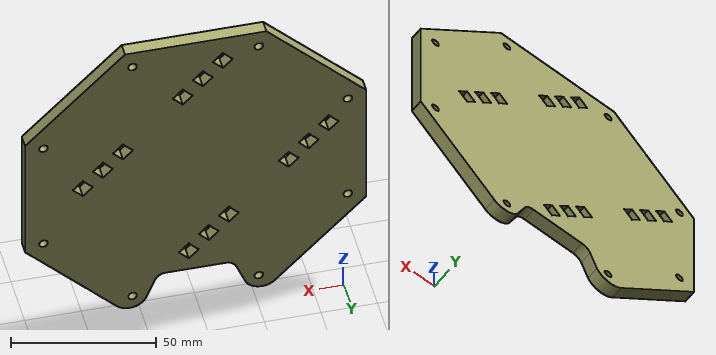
import cadquery as cq
import math

width = 120.7
thickness = 5.0
half_width = width / 2
half_side = half_width * math.tan(math.radians(22.5))

notch_top_z = -45.5
notch_wall_lean = 22.5
notch_fillet = 4.0
foot_bottom_z = -59.3
foot_radius = 6.5

lean = math.radians(notch_wall_lean)
foot_center_z = foot_bottom_z + foot_radius
foot_center_x = (half_width - foot_radius) * math.sqrt(2) + foot_center_z
foot_inner_x = foot_center_x - foot_radius * math.cos(lean)
foot_inner_z = foot_center_z - foot_radius * math.sin(lean)
foot_outer_x = foot_center_x + foot_radius * math.sin(math.pi / 4)
foot_outer_z = foot_center_z - foot_radius * math.cos(math.pi / 4)
notch_top_half_width = foot_inner_x - (notch_top_z - foot_inner_z) * math.tan(lean)

hole_diameter = 3.0
hole_near = 22.3
hole_far = 53.8

window_size = 5.0
window_pitch = 10.0
windows_per_row = 3
row_center_along = -7.1
row_center_across = 2.0
row_spacing_along = 50.0
row_spacing_across = 53.0


def plate_plane():
    """Back face of the plate, from which every outline is extruded towards -Y."""
    return cq.Workplane("XZ", origin=(0, thickness / 2, 0))


def octagon_plate():
    a, b = half_width, half_side
    corners = [(-b, a), (b, a), (a, b), (a, -b), (b, -a), (-b, -a), (-a, -b), (-a, b)]
    return plate_plane().polyline(corners).close().extrude(thickness)


def notch_cutter():
    """Trapezoid opening downwards, with rounded inner corners."""
    depth = notch_top_z + width
    mouth_half_width = notch_top_half_width + depth * math.tan(lean)
    return (
        plate_plane()
        .moveTo(-mouth_half_width, -width)
        .lineTo(-notch_top_half_width, notch_top_z)
        .lineTo(notch_top_half_width, notch_top_z)
        .lineTo(mouth_half_width, -width)
        .close()
        .extrude(thickness)
        .edges("|Y and >Z")
        .fillet(notch_fillet)
    )


def foot_trim(side):
    """Material outside the foot arc: side is -1 for left, +1 for right."""
    return (
        plate_plane()
        .moveTo(side * foot_inner_x, foot_inner_z)
        .threePointArc((side * foot_center_x, foot_bottom_z), (side * foot_outer_x, foot_outer_z))
        .lineTo(side * foot_outer_x, -width)
        .lineTo(side * foot_inner_x, -width)
        .close()
        .extrude(thickness)
    )


def mounting_holes():
    centers = []
    for sx in (-1, 1):
        for sz in (-1, 1):
            centers.append((sx * hole_near, sz * hole_far))
            centers.append((sx * hole_far, sz * hole_near))
    return plate_plane().pushPoints(centers).circle(hole_diameter / 2).extrude(thickness)


def windows():
    centers = []
    for row_along in (-row_spacing_along / 2, row_spacing_along / 2):
        for row_across in (-row_spacing_across / 2, row_spacing_across / 2):
            for i in range(windows_per_row):
                offset = (i - (windows_per_row - 1) / 2) * window_pitch
                along = row_center_along + row_along + offset
                across = row_center_across + row_across
                centers.append((along, across))
    return (
        plate_plane()
        .pushPoints(centers)
        .rect(window_size, window_size)
        .extrude(thickness)
        .rotate((0, 0, 0), (0, 1, 0), 45)
    )


result = octagon_plate().cut(notch_cutter())
for foot_side in (-1, 1):
    result = result.cut(foot_trim(foot_side))
result = result.cut(mounting_holes()).cut(windows())